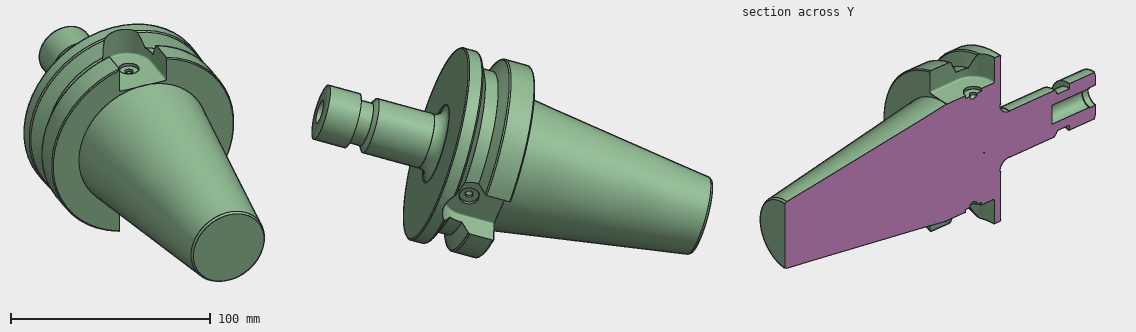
import cadquery as cq
import math

total_length = 201.7

pilot_radius = 14.1
nose_face_radius = 11.7
nose_chamfer_length = 0.7
head_end = 17.1
neck_radius = 11.0
neck_end = 24.6
neck_ring_radius = 12.5
shoulder_start = 25.5
shoulder_end = 26.6
pilot_end = 56.0
relief_step = 0.2

fillet_radius = 5.8
undercut_rim_radius = 20.4

flange_front = 61.5
flange_back = 96.8
flange_radius = 50.0
flange_chamfer = 0.6
front_rim_end = 69.4
groove_front = 73.0
groove_back = 79.9
back_rim_start = 84.1
groove_radius = 42.5
edge_land = 0.8
edge_drop = 0.6

taper_base_radius = 35.3
taper_slope = 7 / 48
taper_chamfer = 1.2
taper_chamfer_drop = 0.6

bore_mouth_diameter = 12.0
bore_mouth_depth = 4.0
bore_diameter = 11.0
bore_depth = 28.2

slot_width = 25.8
slot_center_x = 78.7
slot_floor_z = 35.0
slot_floor_fillet = 1.0

screw_x = 79.3
screw_diameter = 10.0
screw_recess = 1.6
socket_diameter = 4.0
socket_depth = 3.0
socket_tip_depth = 1.2


def revolved_body():
    fillet_center_r = pilot_radius - relief_step + fillet_radius
    fillet_bottom_x = pilot_end + fillet_radius
    diagonal = fillet_radius * math.sqrt(0.5)
    taper_end_radius = taper_base_radius - (total_length - flange_back) * taper_slope
    taper_chamfer_x = total_length - taper_chamfer
    profile = (
        cq.Workplane("XY")
        .moveTo(0, 0)
        .lineTo(0, nose_face_radius)
        .lineTo(nose_chamfer_length, pilot_radius)
        .lineTo(head_end, pilot_radius)
        .lineTo(head_end, neck_radius)
        .lineTo(neck_end, neck_radius)
        .lineTo(shoulder_start, neck_ring_radius)
        .lineTo(shoulder_end, pilot_radius)
        .lineTo(pilot_end, pilot_radius)
        .lineTo(pilot_end, pilot_radius - relief_step)
        .threePointArc(
            (pilot_end + diagonal, fillet_center_r - diagonal),
            (fillet_bottom_x, fillet_center_r),
        )
        .lineTo(flange_front, undercut_rim_radius)
        .lineTo(flange_front, flange_radius - flange_chamfer)
        .lineTo(flange_front + flange_chamfer, flange_radius)
        .lineTo(front_rim_end - edge_land, flange_radius)
        .lineTo(front_rim_end, flange_radius - edge_drop)
        .lineTo(groove_front, groove_radius)
        .lineTo(groove_back, groove_radius)
        .lineTo(back_rim_start - edge_land, flange_radius - edge_drop)
        .lineTo(back_rim_start, flange_radius)
        .lineTo(flange_back - flange_chamfer, flange_radius)
        .lineTo(flange_back, flange_radius - flange_chamfer)
        .lineTo(flange_back, taper_base_radius)
        .lineTo(taper_chamfer_x, taper_base_radius - (taper_chamfer_x - flange_back) * taper_slope)
        .lineTo(total_length, taper_end_radius - taper_chamfer_drop)
        .lineTo(total_length, 0)
        .close()
    )
    return profile.revolve(360, (0, 0, 0), (1, 0, 0))


def nose_bore():
    mouth = cq.Workplane("YZ").circle(bore_mouth_diameter / 2).extrude(bore_mouth_depth)
    drill = cq.Workplane("YZ").circle(bore_diameter / 2).extrude(bore_depth)
    return mouth.union(drill)


def drive_slot():
    """Round-ended +Z slot, open at the back of the flange, with its screw recess."""
    half_width = slot_width / 2
    slot = (
        cq.Workplane("XY", origin=(0, 0, slot_floor_z))
        .moveTo(flange_back, -half_width)
        .lineTo(slot_center_x, -half_width)
        .threePointArc((slot_center_x - half_width, 0), (slot_center_x, half_width))
        .lineTo(flange_back, half_width)
        .close()
        .extrude(flange_radius - slot_floor_z)
    )
    floor_wall_edges = slot.faces("<Z").edges("not >X")
    slot = floor_wall_edges.fillet(slot_floor_fillet)
    screw_seat = cq.Workplane("XY", origin=(screw_x, 0, slot_floor_z))
    recess = screw_seat.circle(screw_diameter / 2).extrude(-screw_recess)
    socket = screw_seat.circle(socket_diameter / 2).extrude(-socket_depth)
    socket_tip = cq.Workplane(
        cq.Solid.makeCone(
            socket_diameter / 2,
            0,
            socket_tip_depth,
            cq.Vector(screw_x, 0, slot_floor_z - socket_depth),
            cq.Vector(0, 0, -1),
        )
    )
    return slot.union(recess).union(socket).union(socket_tip)


result = revolved_body().cut(nose_bore())
for side_angle in (0, 180):
    result = result.cut(drive_slot().rotate((0, 0, 0), (1, 0, 0), side_angle))